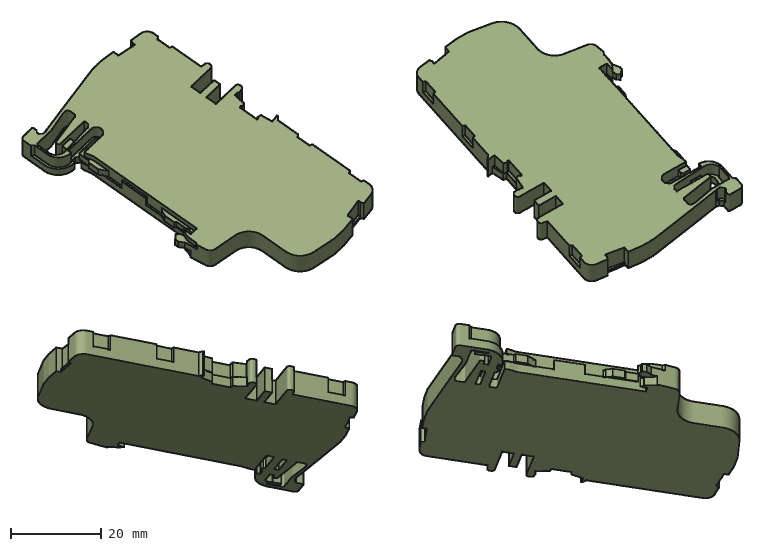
import cadquery as cq
import math

LENGTH = 70.8
HEIGHT = 42.8
THICKNESS = 6.0

SPLIT_Z = 2.35
RIB_TOP_Z = 4.45
PAD_TOP_Z = 4.9
LABEL_FLOOR_Z = 0.65
HEEL_NOTCH_Z = 2.0

TOP_EDGE_Y = 41.0
LEDGE_Y = 14.95
FOOT_Y = 6.4
FOOT_TOE_Y = 5.95
FOOT_RECESS_Y = 6.9
FOOT_END_X = 45.9
CLEARANCE = 2.1

PRONG_WIDTH = 1.6
PRONG_ROUND = 0.7
PRONG_GAP = (19.7, 26.9)
PRONG_GAP_FLOOR_Y = 35.4
TAB = (22.4, 24.15)
TAB_TOP_Y = 40.1

SEAT = (31.8, 36.25)
SEAT_FLOOR_Y = 38.9
SEAT_RECESS_Y = 38.2
SEAT_RECESS_SIDE = 0.3
SEAT_EDGE_Y = 39.65
SEAT_RAMP_DEPTH = 0.6

POCKET_STARTS = (5.3, 46.25, 61.3)
POCKET_WIDTH = 4.05
POCKET_DEPTH = 0.65
POCKET_TAPER = 0.2

HEEL_X = 0.35
HEEL_TOP_Y = 4.05
HEEL_ROUND = 0.9
CLIP_X = 12.0
CLIP_ROUND = 4.7
CLIP_TIP_Y = 4.9
CLIP_STEP = 0.65
ARM_INSIDE_Y = 1.1
SPRING_SLOT_X = 7.9
SLOT_TOP_Y = 12.8

RELEASE_SLOT = (10.5, 13.45)
RELEASE_TOP_Y = 13.7
RELEASE_WALL = 0.6
LATCH_X = 12.1
LATCH_Y = 6.15
RIB_Y = 5.75


def outline(corners, z):
    """Closed outline through (x, y) or (x, y, radius) corners; a radius rounds its corner."""
    spans = []
    count = len(corners)
    for i, corner in enumerate(corners):
        here = cq.Vector(corner[0], corner[1], 0)
        if len(corner) == 2:
            spans.append((here, None, here))
            continue
        before = cq.Vector(*corners[i - 1][:2], 0)
        after = cq.Vector(*corners[(i + 1) % count][:2], 0)
        to_before = (before - here).normalized()
        to_after = (after - here).normalized()
        half_angle = to_before.getAngle(to_after) / 2
        reach = corner[2] / math.tan(half_angle)
        bisector = (to_before + to_after).normalized()
        middle = here + bisector * (corner[2] / math.sin(half_angle) - corner[2])
        spans.append((here + to_before * reach, middle, here + to_after * reach))

    def flat(point):
        return (point.x, point.y)

    sketch = cq.Workplane("XY").workplane(offset=z).moveTo(*flat(spans[0][2]))
    for start, middle, end in spans[1:] + spans[:1]:
        sketch = sketch.lineTo(*flat(start))
        if middle is not None:
            sketch = sketch.threePointArc(flat(middle), flat(end))
    return sketch.close()


def prism(corners, z_low=0.0, z_high=THICKNESS):
    """Straight extrusion of an outline between two heights."""
    return outline(corners, z_low).extrude(z_high - z_low)


def block(x_range, y_range, z_low=0.0, z_high=THICKNESS):
    """Plain box between the given limits."""
    (x0, x1), (y0, y1) = x_range, y_range
    return prism([(x0, y0), (x1, y0), (x1, y1), (x0, y1)], z_low, z_high)


def mirrored(corners):
    """The same corners on the opposite short side, in reversed order."""
    return [(LENGTH - x, *rest) for x, *rest in reversed(corners)]


SIDE = [
    (0, 24.8),
    (0, 28.0),
    (0.4, 31.4),
    (1.5, 31.4),
    (2.1, 35.9),
    (1.35, 36.25),
    (2.0, TOP_EDGE_Y, 2.2),
]

PRONGS_AND_SEAT = [
    (17.8, TOP_EDGE_Y),
    (PRONG_GAP[0] - PRONG_WIDTH, HEIGHT, PRONG_ROUND),
    (PRONG_GAP[0], HEIGHT, PRONG_ROUND),
    (PRONG_GAP[0], PRONG_GAP_FLOOR_Y),
    (TAB[0], PRONG_GAP_FLOOR_Y),
    (TAB[0], TAB_TOP_Y),
    (TAB[1], TAB_TOP_Y),
    (TAB[1], PRONG_GAP_FLOOR_Y),
    (PRONG_GAP[1], PRONG_GAP_FLOOR_Y),
    (PRONG_GAP[1], HEIGHT, PRONG_ROUND),
    (PRONG_GAP[1] + PRONG_WIDTH, HEIGHT, PRONG_ROUND),
    (28.8, 41.2),
    (28.55, TOP_EDGE_Y),
    (28.55, 40.6),
    (31.6, SEAT_EDGE_Y),
    (SEAT[0], SEAT_FLOOR_Y),
    (SEAT[1], SEAT_FLOOR_Y),
    (36.5, SEAT_EDGE_Y),
    (39.45, 40.5),
    (39.2, 41.85),
    (39.6, 41.85),
    (40.3, TOP_EDGE_Y),
]

OVERHANG_AND_HOOK = [
    (69.05, LEDGE_Y, 5.0),
    (54.25, LEDGE_Y, 4.75),
    (52.5, 4.05, 1.8),
    (48.7, 3.5),
    (45.7, 3.1),
    (44.5, 2.35),
    (43.4, 2.35),
    (43.2, 3.0),
    (42.6, 3.3),
    (43.3, 4.2),
    (44.3, 4.4),
    (43.55, 4.9),
    (45.25, 5.2),
    (45.25, FOOT_Y),
]

CLIP_AND_HEEL = [
    (16.0, FOOT_Y),
    (13.9, FOOT_TOE_Y),
    (11.1, FOOT_TOE_Y),
    (11.1, CLIP_TIP_Y),
    (CLIP_X, CLIP_TIP_Y),
    (CLIP_X, 0, CLIP_ROUND),
    (HEEL_X, 0, HEEL_ROUND),
    (HEEL_X, HEEL_TOP_Y, 0.2),
    (2.2, HEEL_TOP_Y),
    (2.9, 4.9),
    (3.1, 5.6),
    (2.05, 12.0),
]


def housing():
    return prism(SIDE + PRONGS_AND_SEAT + mirrored(SIDE) + OVERHANG_AND_HOOK + CLIP_AND_HEEL)


def clip_window():
    """Opening through the full thickness around the spring fin and the tongue."""
    return prism([
        (4.05, ARM_INSIDE_Y, 0.3),
        (8.1, ARM_INSIDE_Y),
        (8.1, 1.3),
        (5.1, 1.5),
        (5.1, 2.35),
        (7.15, 2.35),
        (7.15, 2.2),
        (9.0, 2.2, 0.65),
        (9.0, SLOT_TOP_Y, 0.35),
        (SPRING_SLOT_X, SLOT_TOP_Y),
        (SPRING_SLOT_X, 4.25, 0.35),
        (6.9, 4.25, 0.3),
        (5.45, SLOT_TOP_Y, 0.35),
        (3.0, SLOT_TOP_Y, 0.8),
        (3.0, 11.3),
        (4.05, 6.0),
    ])


def spring_slot():
    """Wider upper part of the window; leaves the inner strip and tongue below the split."""
    return prism([
        (4.4, ARM_INSIDE_Y),
        (10.2, ARM_INSIDE_Y, 2.55),
        (9.9, 6.9),
        (9.55, SLOT_TOP_Y, 1.0),
        (SPRING_SLOT_X, SLOT_TOP_Y),
        (SPRING_SLOT_X, 2.8),
        (4.4, 2.8),
    ], SPLIT_Z)


def arm_step():
    """Set-back of the outer face of the clip arm above the split."""
    arm_x = CLIP_X - CLIP_STEP
    return prism([
        (3.3, -CLEARANCE),
        (3.3, 0.15),
        (4.0, CLIP_STEP),
        (arm_x, CLIP_STEP, 3.7),
        (arm_x, 4.4),
        (CLIP_X + CLEARANCE, 4.4),
        (CLIP_X + CLEARANCE, -CLEARANCE),
    ], SPLIT_Z)


def release_slot_lower():
    x0, x1 = RELEASE_SLOT[0] + RELEASE_WALL, RELEASE_SLOT[1] - RELEASE_WALL
    top = RELEASE_TOP_Y - RELEASE_WALL
    return prism([
        (11.1, CLIP_TIP_Y),
        (11.1, 6.1),
        (11.8, 6.9),
        (11.5, 7.6),
        (x0, 7.9),
        (x0, top, 0.5),
        (x1, top, 0.5),
        (x1, CLIP_TIP_Y),
    ])


def release_slot_upper():
    x0, x1 = RELEASE_SLOT
    return prism([
        (x0, 4.4),
        (x0, RELEASE_TOP_Y, 1.4),
        (x1, RELEASE_TOP_Y, 1.4),
        (x1, 4.4),
    ], SPLIT_Z)


def heel_notch():
    """Rounded undercut where the heel meets the outer side."""
    return prism([
        (1.6, HEEL_TOP_Y),
        (2.0, 3.6),
        (2.5, 3.6),
        (3.25, 4.3, 0.3),
        (3.2, 5.3),
        (2.1, 5.3),
    ], HEEL_NOTCH_Z)


def spring_bridge():
    return block((SPRING_SLOT_X, 9.4), (5.3, 8.0), 0, RIB_TOP_Z)


def foot_recess():
    """Set-back of the rail face above the split."""
    return prism([
        (RELEASE_SLOT[1], FOOT_Y),
        (13.8, FOOT_Y),
        (15.8, FOOT_RECESS_Y),
        (FOOT_END_X, FOOT_RECESS_Y),
        (FOOT_END_X, 4.8),
        (RELEASE_SLOT[1], 4.8),
    ], SPLIT_Z)


def below_hook():
    """Space under the hook, leaving a small catch above it in Y."""
    return prism([
        (41.8, 4.5),
        (43.9, 4.5),
        (45.0, 4.1),
        (46.25, 3.8),
        (47.1, 3.5),
        (47.1, 0),
        (41.8, 0),
    ], 0, SPLIT_Z)


def above_hook():
    """Space over the hook, leaving the same catch and thinning the body beside it."""
    return prism([
        (41.8, 4.5),
        (44.05, 4.5),
        (45.0, 4.1),
        (46.0, 3.8),
        (48.3, 3.8),
        (49.0, 3.5),
        (49.0, 0),
        (41.8, 0),
    ], RIB_TOP_Z)


def foot_pad():
    return block((24.35, 31.4), (FOOT_Y, FOOT_RECESS_Y), 0, PAD_TOP_Z)


def latch_block():
    """Block beside the mouth of the release slot."""
    return prism([
        (LATCH_X, LATCH_Y),
        (RELEASE_SLOT[1], LATCH_Y),
        (RELEASE_SLOT[1], 8.4),
        (LATCH_X + 0.4, 8.4),
        (LATCH_X, 8.0),
    ], SPLIT_Z, RIB_TOP_Z)


def left_rib():
    return prism([
        (RELEASE_SLOT[1], FOOT_RECESS_Y),
        (RELEASE_SLOT[1], LATCH_Y),
        (15.0, LATCH_Y),
        (15.4, RIB_Y),
        (18.05, RIB_Y),
        (20.2, FOOT_RECESS_Y),
    ], SPLIT_Z, RIB_TOP_Z)


def right_rib():
    return prism([
        (35.6, FOOT_RECESS_Y),
        (36.1, FOOT_Y),
        (37.5, RIB_Y),
        (40.3, RIB_Y),
        (40.6, LATCH_Y),
        (43.5, LATCH_Y),
        (43.5, FOOT_Y),
        (44.25, FOOT_Y),
        (44.25, LATCH_Y),
        (45.4, LATCH_Y),
        (45.4, FOOT_RECESS_Y),
    ], SPLIT_Z, RIB_TOP_Z)


def label_recess():
    """Recess in the left short side."""
    return prism([
        (1.4, 31.4),
        (1.9, 31.4),
        (2.75, 36.0),
        (2.1, 36.0),
    ], LABEL_FLOOR_Z)


def edge_pocket(x_start):
    floor_y = TOP_EDGE_Y - POCKET_DEPTH
    x_end = x_start + POCKET_WIDTH
    return prism([
        (x_start, TOP_EDGE_Y),
        (x_start + POCKET_TAPER, floor_y),
        (x_end - POCKET_TAPER, floor_y),
        (x_end, TOP_EDGE_Y),
    ], SPLIT_Z)


def seat_recess():
    """Set-back of the marker seat and its two ramps above the split."""
    x0, x1 = SEAT[0] - SEAT_RECESS_SIDE, SEAT[1] + SEAT_RECESS_SIDE
    return prism([
        (28.55, 40.6),
        (28.55, 40.6 - SEAT_RAMP_DEPTH),
        (31.15, SEAT_EDGE_Y),
        (31.6, SEAT_EDGE_Y),
        (SEAT[0], 38.6),
        (x0, 38.6),
        (x0, SEAT_RECESS_Y),
        (x1, SEAT_RECESS_Y),
        (x1, 38.6),
        (SEAT[1], 38.6),
        (36.5, SEAT_EDGE_Y),
        (36.95, SEAT_EDGE_Y),
        (39.45, 40.5 - SEAT_RAMP_DEPTH),
        (39.45, 40.5),
    ], SPLIT_Z)


result = housing()

left_label = label_recess()
right_label = left_label.mirror("YZ").translate((LENGTH, 0, 0))
cuts = [
    clip_window(), spring_slot(), arm_step(), release_slot_lower(), release_slot_upper(),
    heel_notch(), foot_recess(), below_hook(), above_hook(), seat_recess(), left_label, right_label,
]
cuts += [edge_pocket(x_start) for x_start in POCKET_STARTS]
for cut in cuts:
    result = result.cut(cut)

for addition in (spring_bridge(), foot_pad(), latch_block(), left_rib(), right_rib()):
    result = result.union(addition)